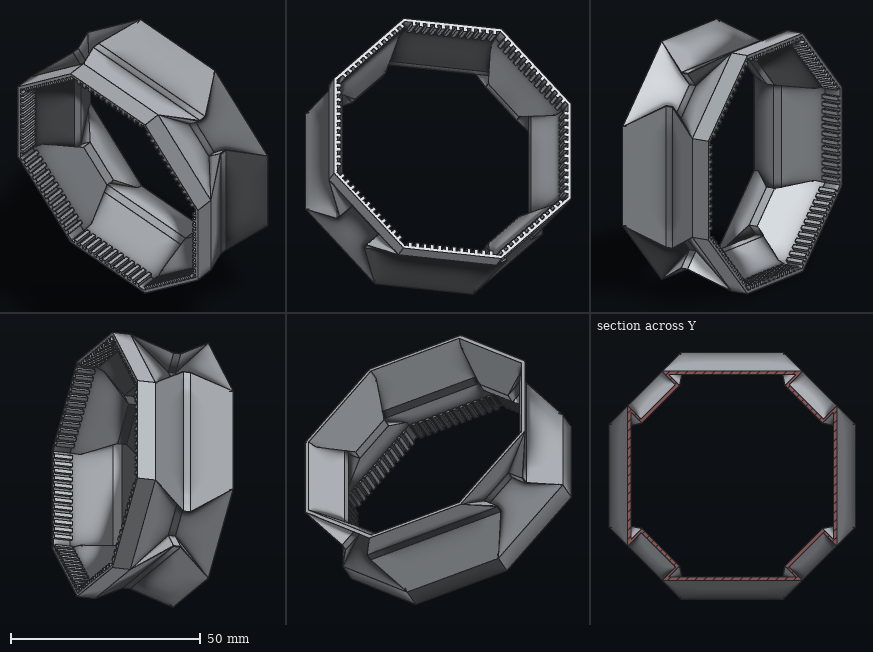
import cadquery as cq
import math

width = 65.2
wall = 0.9
rim = 5.0
slope_run = 10.0
floor_run = 2.0
slope = math.radians(30)
teeth_per_side = 12
tooth_height = 1.0
side_count = 8

apothem = width / 2
half_angle = math.pi / side_count
half_side = apothem * math.tan(half_angle)
groove_depth = slope_run * math.tan(slope)

slope_start = rim
floor_start = slope_start + slope_run
floor_end = floor_start + floor_run
depth = floor_end + slope_run

crease_strip = 0.25
narrowing = groove_depth * math.sqrt(2) + crease_strip
half_floor = half_side - narrowing
end_slope = math.atan(narrowing / slope_run)

inner_apothem = apothem - wall
slant_wall = wall / math.cos(slope)
end_wall = wall / math.cos(end_slope)
floor_growth = wall * math.tan(slope / 2)
end_growth = wall * math.tan(end_slope / 2)

inner_half_side = inner_apothem * math.tan(half_angle)
tooth_pitch = 2 * inner_half_side / (teeth_per_side + 1)
tooth_width = tooth_pitch / 2


def octagon(flat_distance, length):
    """Octagonal prism from Y = 0 to Y = length, its sides at flat_distance from the axis."""
    radius = flat_distance / math.cos(half_angle)
    corners = []
    for i in range(side_count):
        angle = (2 * i + 1) * half_angle
        corners.append((radius * math.cos(angle), radius * math.sin(angle)))
    return cq.Workplane("XZ").polyline(corners).close().extrude(-length)


def on_side(shape, index):
    """Turn a shape made for the top side (+Z) onto another side."""
    return shape.rotate((0, 0, 0), (0, 1, 0), index * 360 / side_count)


def across_side(profile):
    """Extrude a (Y, Z) profile along the whole top side."""
    return cq.Workplane("YZ").polyline(profile).close().extrude(apothem, both=True)


def through_side(right_edge):
    """Extrude radially the symmetric (X, Y) outline whose right edge is given."""
    left_edge = [(-x, y) for x, y in reversed(right_edge)]
    return cq.Workplane("XY").polyline(right_edge + left_edge).close().extrude(width)


def on_all_sides(flat_shape, diagonal_shape):
    """Place the flat shape on the four main sides and the other on the four sides between them."""
    pair = (flat_shape, diagonal_shape)
    return [on_side(pair[i % 2], i) for i in range(side_count)]


groove = across_side([
    (slope_start, apothem),
    (floor_start, apothem - groove_depth),
    (floor_end, apothem - groove_depth),
    (depth, apothem),
])
groove_limits = through_side([
    (half_side, slope_start),
    (half_floor, floor_start),
    (half_floor, floor_end),
    (half_side, depth),
])
body = octagon(apothem, depth)
for cutter in on_all_sides(groove, groove.intersect(groove_limits)):
    body = body.cut(cutter)

bulge = across_side([
    (slope_start - floor_growth, inner_apothem),
    (floor_start - floor_growth, inner_apothem - groove_depth),
    (floor_end + floor_growth, inner_apothem - groove_depth),
    (depth, apothem - slant_wall),
    (depth, width),
    (slope_start - floor_growth, width),
])
bulge_limits = through_side([
    (half_side + end_wall + narrowing, slope_start - slope_run),
    (half_floor + wall, floor_start - end_growth),
    (half_floor + wall, floor_end + end_growth),
    (half_side + end_wall + narrowing, depth + slope_run),
])
cavity = octagon(inner_apothem, depth)
for side_bulge in on_all_sides(bulge, bulge.intersect(bulge_limits)):
    cavity = cavity.cut(side_bulge)
body = body.cut(cavity)

tooth_root = wall / 2
tooth_centers = []
for k in range(teeth_per_side):
    right_edge = inner_half_side - (k + 0.5) * tooth_pitch
    tooth_centers.append((right_edge - tooth_width / 2, rim / 2))
comb = (
    cq.Workplane("XY")
    .workplane(offset=inner_apothem - tooth_height)
    .pushPoints(tooth_centers)
    .rect(tooth_width, rim)
    .extrude(tooth_height + tooth_root)
)
for side_comb in on_all_sides(comb, comb):
    body = body.union(side_comb)

result = body